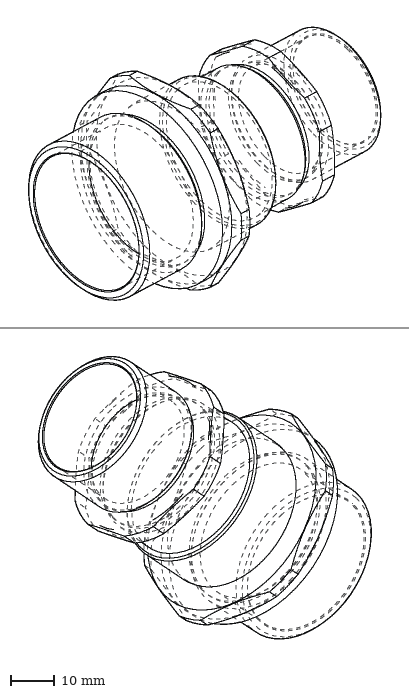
import cadquery as cq
import math

length = 81.5
front_thread_end = 18.0
front_neck_end = 20.0
flange_end = 23.0
large_hex_end = 28.0
body_start = 29.0
body_end = 43.5
cone_end = 54.5
small_hex_start = 56.6
small_hex_end = 61.45
rear_thread_start = 63.4

front_thread_diameter = 40.0
front_neck_diameter = 38.0
flange_diameter = 49.8
body_diameter = 38.4
cone_base_diameter = 35.0
cone_tip_diameter = 34.5
cone_neck_diameter = 33.0
rear_thread_diameter = 32.0
rear_neck_diameter = 30.0

front_thread_chamfer = (front_thread_diameter - front_neck_diameter) / 2
rear_thread_chamfer = (rear_thread_diameter - rear_neck_diameter) / 2
cone_chamfer = 1.0
body_chamfer = 0.5

corner_to_flat = 30.0
large_hex_flats = 50.0
large_hex_corners = 53.95
large_hex_face_diameter = flange_diameter
large_hex_chamfer_angle = 30.0
small_hex_flats = 40.0
small_hex_corners = 42.1
small_hex_face_diameter = 39.3
small_hex_chamfer_angle = 18.0
small_hex_turn = 25.5

front_bore_diameter = 34.5
front_bore_depth = 18.0
rear_bore_diameter = 27.5
rear_bore_depth = length - rear_thread_start
bore_chamfer = 0.25


def revolve_profile(stations):
    """Revolve (diameter, y) stations into a solid of revolution about the Y axis."""
    points = [(diameter / 2, y) for diameter, y in stations]
    outline = [(0, points[0][1])] + points + [(0, points[-1][1])]
    return cq.Workplane("XY").polyline(outline).close().revolve(360, (0, 0, 0), (0, 1, 0))


def hex_collar(flats, corners, face_diameter, chamfer_angle, start, end, turn=0.0):
    """Hexagonal collar with rounded corners and conical chamfers on both faces."""
    prism = (
        cq.Workplane("XZ", origin=(0, start, 0))
        .polygon(6, flats, circumscribed=True)
        .extrude(start - end)
        .rotate((0, 0, 0), (0, 1, 0), corner_to_flat + turn)
    )
    chamfer_height = (corners - face_diameter) / 2 * math.tan(math.radians(chamfer_angle))
    envelope = revolve_profile([
        (face_diameter, start),
        (corners, start + chamfer_height),
        (corners, end - chamfer_height),
        (face_diameter, end),
    ])
    return prism.intersect(envelope)


def turned_body():
    """Solid stepped body with both threaded ends, the necks and the tapered section."""
    return revolve_profile([
        (front_neck_diameter, 0),
        (front_thread_diameter, front_thread_chamfer),
        (front_thread_diameter, front_thread_end),
        (front_neck_diameter, front_thread_end + front_thread_chamfer),
        (front_neck_diameter, front_neck_end),
        (flange_diameter, front_neck_end),
        (flange_diameter, flange_end),
        (front_neck_diameter, flange_end),
        (front_neck_diameter, large_hex_end),
        (body_diameter, body_start),
        (body_diameter, body_end - body_chamfer),
        (body_diameter - 2 * body_chamfer, body_end),
        (cone_base_diameter, body_end),
        (cone_tip_diameter, cone_end),
        (cone_neck_diameter, cone_end + cone_chamfer),
        (cone_neck_diameter, small_hex_start),
        (rear_neck_diameter, small_hex_start),
        (rear_neck_diameter, rear_thread_start - rear_thread_chamfer),
        (rear_thread_diameter, rear_thread_start),
        (rear_thread_diameter, length - rear_thread_chamfer),
        (rear_neck_diameter, length),
    ])


def front_bore():
    return revolve_profile([
        (front_bore_diameter + 2 * bore_chamfer, 0),
        (front_bore_diameter, bore_chamfer),
        (front_bore_diameter, front_bore_depth),
    ])


def rear_bore():
    return revolve_profile([
        (rear_bore_diameter, length - rear_bore_depth),
        (rear_bore_diameter, length - bore_chamfer),
        (rear_bore_diameter + 2 * bore_chamfer, length),
    ])


large_hex = hex_collar(
    large_hex_flats, large_hex_corners, large_hex_face_diameter, large_hex_chamfer_angle,
    flange_end, large_hex_end,
)
small_hex = hex_collar(
    small_hex_flats, small_hex_corners, small_hex_face_diameter, small_hex_chamfer_angle,
    small_hex_start, small_hex_end, small_hex_turn,
)

adapter = turned_body().union(large_hex).union(small_hex).cut(front_bore()).cut(rear_bore())

result = adapter.translate((0, -length / 2, 0))